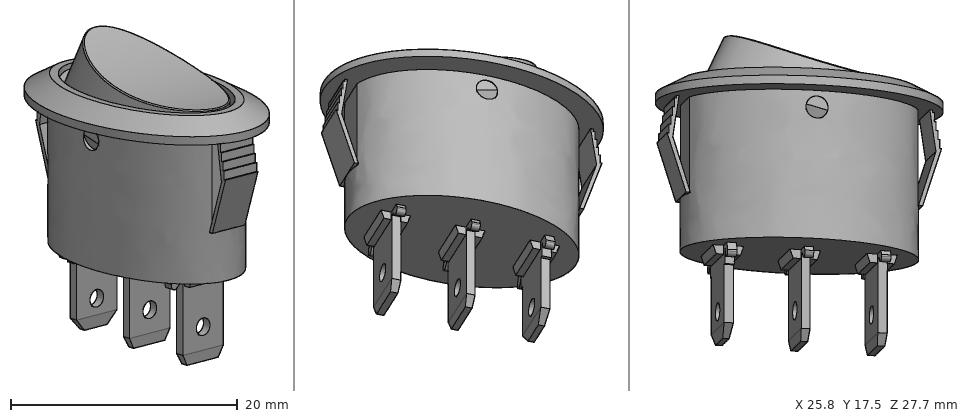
import cadquery as cq
import math


FLANGE_LENGTH = 25.8
FLANGE_WIDTH = 17.5
FLANGE_BEVEL = 2.3
RIM_HEIGHT = 0.78
FLANGE_HEIGHT = 2.05
OPENING_LENGTH = 19.5
OPENING_WIDTH = 11.4
OPENING_DEPTH = 6.1
OPENING_TAPER = 0.08

BODY_LENGTH = 21.45
BODY_WIDTH = 13.35
BODY_DEPTH = 13.43
FLAT_X = 10.4
CLIP_DEPTH = 8.73

PIN_DIAMETER = 2.0
PIN_Z = -1.5
PIN_END_Y = 6.62
SOCKET_DEPTH = 0.83
PIN_BEVEL = 0.42

ROCKER_TILT = 13.5
ROCKER_LENGTH = 16.73
ROCKER_WIDTH = 9.09
ROCKER_TIP = 5.8
ROCKER_DISH = 1.02
ROCKER_BASE = 0.7
ROCKER_DRAFT = 11.6
ROCKER_EDGE = 0.1

CLIP_WIDTH = 3.88
TOOTH_COUNT = 5
TOOTH_TOP_X = 11.63
TOOTH_TOP_DROP = 0.22
TOOTH_PITCH = 0.8
TOOTH_STEP = 0.17
CLIP_ROOT_X = 11.38
CLIP_BEND_X = 11.95
CLIP_BEND_DROP = 3.75
CLIP_FOOT_INNER_X = 10.35
CLIP_FOOT_OUTER_X = 10.75

TERMINAL_PITCH = 6.98
TERMINAL_END_Z = -21.65
BLADE_WIDTH = 4.82
HOLE_DIAMETER = 1.6
EMBED = 0.55
BOSS_TOP_LENGTH = 2.77
BOSS_END_LENGTH = 2.22
BOSS_WIDTH = 4.52
BOSS_HEIGHT = 0.8
SHOULDER_WIDTH = 5.48
SHOULDER_DROP = 1.77
FOOT_OUTER_Y = 3.77
FOOT_RADIUS = 0.4
FOOT_SIDE_HEIGHT = 0.55
FOOT_LEAN = 0.43
FOOT_CROTCH_DROP = 0.42
FOOT_INNER_ANGLE = 30


def oval(length, width, z):
    return cq.Workplane("XY", origin=(0, 0, z)).ellipse(length / 2, width / 2)


def oval_loft(length, width, z, end_length, end_width, height):
    """Straight-sided solid between two ovals, the first one at z."""
    return (
        oval(length, width, z)
        .workplane(offset=height)
        .ellipse(end_length / 2, end_width / 2)
        .loft(ruled=True)
    )


def flange():
    rim = oval(FLANGE_LENGTH, FLANGE_WIDTH, 0).extrude(RIM_HEIGHT)
    bevel = oval_loft(
        FLANGE_LENGTH,
        FLANGE_WIDTH,
        RIM_HEIGHT,
        FLANGE_LENGTH - 2 * FLANGE_BEVEL,
        FLANGE_WIDTH - 2 * FLANGE_BEVEL,
        FLANGE_HEIGHT - RIM_HEIGHT,
    )
    return rim.union(bevel)


def housing():
    """Oval body whose ends are flattened above the ledges that carry the clips."""
    body = oval(BODY_LENGTH, BODY_WIDTH, -BODY_DEPTH).extrude(BODY_DEPTH)
    flat_depth = BODY_LENGTH / 2 - FLAT_X
    for side in (-1, 1):
        flat = (
            cq.Workplane("XY", origin=(side * (FLAT_X + flat_depth / 2), 0, -CLIP_DEPTH))
            .rect(flat_depth, BODY_WIDTH)
            .extrude(CLIP_DEPTH)
        )
        body = body.cut(flat)
    return body


def tilted(part):
    """Move a shape from the rocker frame onto the pivot axis."""
    return part.rotate((0, 0, 0), (0, 1, 0), ROCKER_TILT).translate((0, 0, PIN_Z))


def opening():
    """Oval well in the bezel whose floor is tilted with the rocker."""
    well = oval_loft(
        OPENING_LENGTH - 2 * OPENING_TAPER,
        OPENING_WIDTH - 2 * OPENING_TAPER,
        FLANGE_HEIGHT - OPENING_DEPTH,
        OPENING_LENGTH,
        OPENING_WIDTH,
        OPENING_DEPTH,
    )
    above_floor = (
        cq.Workplane("XY", origin=(0, 0, ROCKER_BASE))
        .rect(FLANGE_LENGTH, FLANGE_WIDTH)
        .extrude(2 * OPENING_DEPTH)
    )
    return well.intersect(tilted(above_floor))


def socket(side):
    """Round socket cut into one long side (side is -1 or 1)."""
    start = side * (PIN_END_Y - SOCKET_DEPTH)
    return (
        cq.Workplane("XZ", origin=(0, start, PIN_Z))
        .circle(PIN_DIAMETER / 2)
        .extrude(-side * 2 * SOCKET_DEPTH)
    )


def pin(side):
    """Pin that fills a socket, with its lower half bevelled."""
    radius = PIN_DIAMETER / 2
    root = PIN_END_Y - SOCKET_DEPTH
    profile = [
        (side * root, radius),
        (side * PIN_END_Y, radius),
        (side * PIN_END_Y, 0),
        (side * (PIN_END_Y - PIN_BEVEL), -radius),
        (side * root, -radius),
    ]
    bevelled = (
        cq.Workplane("YZ")
        .polyline(profile)
        .close()
        .extrude(PIN_DIAMETER, both=True)
    )
    return tilted(bevelled).intersect(socket(side))


def rocker():
    height = ROCKER_TIP - ROCKER_BASE
    spread = 2 * height * math.tan(math.radians(ROCKER_DRAFT))
    button = oval_loft(
        ROCKER_LENGTH + spread,
        ROCKER_WIDTH + spread,
        ROCKER_BASE,
        ROCKER_LENGTH,
        ROCKER_WIDTH,
        height,
    )
    half = ROCKER_LENGTH / 2
    dish_radius = (half**2 + ROCKER_DISH**2) / (2 * ROCKER_DISH)
    dish = (
        cq.Workplane("XZ", origin=(0, 0, ROCKER_TIP - ROCKER_DISH + dish_radius))
        .circle(dish_radius)
        .extrude(ROCKER_WIDTH, both=True)
    )
    button = button.cut(dish).edges(">Z").chamfer(ROCKER_EDGE)
    return tilted(button)


def clip():
    """Spring clip on the +X end, with a stepped outer face above its bend."""
    outer = [(TOOTH_TOP_X, 0)]
    for tooth in range(TOOTH_COUNT):
        z = -TOOTH_TOP_DROP - tooth * TOOTH_PITCH
        outer.append((TOOTH_TOP_X + tooth * TOOTH_STEP, z))
        outer.append((TOOTH_TOP_X + (tooth + 1) * TOOTH_STEP, z))
    inner = [
        (CLIP_FOOT_OUTER_X, -CLIP_DEPTH),
        (CLIP_FOOT_INNER_X, -CLIP_DEPTH),
        (CLIP_BEND_X, -CLIP_BEND_DROP),
        (CLIP_ROOT_X, 0),
    ]
    return cq.Workplane("XZ").polyline(outer + inner).close().extrude(CLIP_WIDTH / 2, both=True)


def foot(side, drop, thickness):
    """Splayed foot with a round end (side is -1 or 1, drop is its reach below the body)."""
    root_z = -BODY_DEPTH
    end_z = root_z - drop
    corner_z = end_z + FOOT_SIDE_HEIGHT
    top_z = root_z + EMBED
    centre_y = FOOT_OUTER_Y - FOOT_RADIUS
    centre_z = end_z + FOOT_RADIUS
    inner_angle = math.radians(FOOT_INNER_ANGLE)
    inner_y = centre_y - FOOT_RADIUS * math.cos(inner_angle)
    inner_z = centre_z - FOOT_RADIUS * math.sin(inner_angle)
    crotch_y = SHOULDER_WIDTH / 2
    crotch_z = root_z - FOOT_CROTCH_DROP
    return (
        cq.Workplane("YZ")
        .moveTo(0, top_z)
        .lineTo(side * (FOOT_OUTER_Y - FOOT_LEAN * (top_z - corner_z)), top_z)
        .lineTo(side * FOOT_OUTER_Y, corner_z)
        .lineTo(side * FOOT_OUTER_Y, centre_z)
        .threePointArc((side * centre_y, end_z), (side * inner_y, inner_z))
        .lineTo(side * crotch_y, crotch_z)
        .lineTo(0, crotch_z)
        .close()
        .extrude(thickness / 2, both=True)
    )


def terminal(x, thickness, tip_thickness, tip_width, tip_start, hole_z, foot_drop, shouldered):
    """Blade terminal with a bevelled tip, a pair of splayed feet and a boss around its root."""
    root_z = -BODY_DEPTH
    blade = (
        cq.Workplane("XY", origin=(0, 0, tip_start))
        .rect(thickness, BLADE_WIDTH)
        .extrude(root_z + EMBED - tip_start)
    )
    tip = (
        cq.Workplane("XY", origin=(0, 0, TERMINAL_END_Z))
        .rect(tip_thickness, tip_width)
        .workplane(offset=tip_start - TERMINAL_END_Z)
        .rect(thickness, BLADE_WIDTH)
        .loft(ruled=True)
    )
    boss = (
        cq.Workplane("XY", origin=(0, 0, root_z - BOSS_HEIGHT))
        .rect(BOSS_END_LENGTH, BOSS_WIDTH)
        .workplane(offset=BOSS_HEIGHT)
        .rect(BOSS_TOP_LENGTH, BOSS_WIDTH)
        .loft(ruled=True)
    )
    hole = (
        cq.Workplane("YZ", origin=(0, 0, hole_z))
        .circle(HOLE_DIAMETER / 2)
        .extrude(thickness, both=True)
    )
    part = blade.union(tip).cut(hole).union(boss)

    for side in (-1, 1):
        part = part.union(foot(side, foot_drop, thickness))
    if shouldered:
        block = (
            cq.Workplane("XY", origin=(0, 0, root_z - SHOULDER_DROP))
            .rect(thickness, SHOULDER_WIDTH)
            .extrude(SHOULDER_DROP + EMBED)
        )
        part = part.union(block)
    return part.translate((x, 0, 0))


result = flange().union(housing()).cut(opening())
for side in (-1, 1):
    result = result.cut(socket(side)).union(pin(side))
result = result.union(rocker())
result = result.union(clip()).union(clip().mirror("YZ"))

result = result.union(
    terminal(
        x=-TERMINAL_PITCH,
        thickness=0.85,
        tip_thickness=0.58,
        tip_width=2.71,
        tip_start=-20.47,
        hole_z=-18.95,
        foot_drop=1.27,
        shouldered=True,
    )
)
for x, thickness, tip_thickness in ((0, 0.8, 0.65), (TERMINAL_PITCH, 0.85, 0.7)):
    result = result.union(
        terminal(
            x=x,
            thickness=thickness,
            tip_thickness=tip_thickness,
            tip_width=3.7,
            tip_start=-20.6,
            hole_z=-18.45,
            foot_drop=0.95,
            shouldered=False,
        )
    )